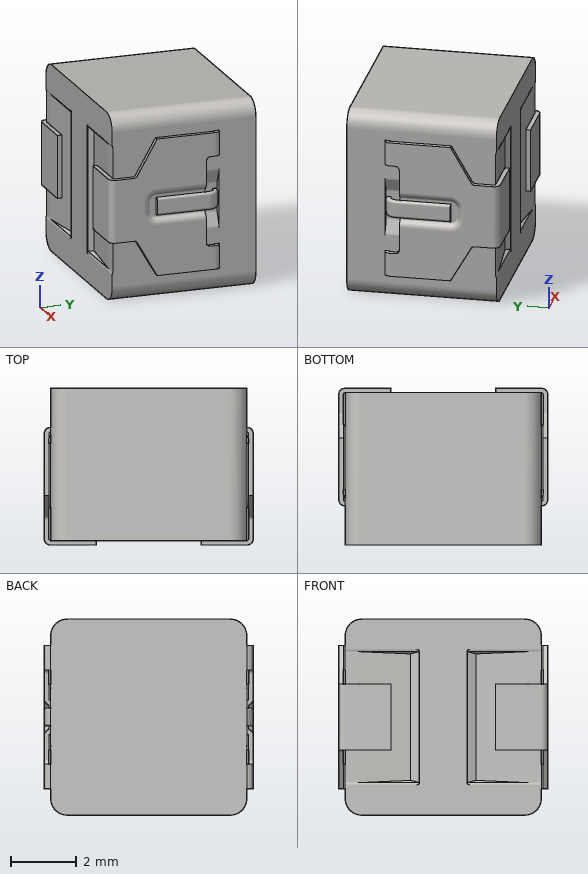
import cadquery as cq
import math


overall_width = 6.4
body_size = 6.0
body_depth = 4.67
body_corner_radius = 0.51
body_side = -body_size / 2

sheet = 0.15
inner_bend_radius = 0.05
outer_bend_radius = inner_bend_radius + sheet
seat_depth = 0.02
terminal_outer = -overall_width / 2
terminal_inner = terminal_outer + sheet
pad_outer = seat_depth - sheet
pad_end = -1.6
tab_top = 3.475
tab_reach = 0.32
terminal_half_height = 2.195
neck_half_height = 1.01
shoulder_y = 1.39
shoulder_angle = 60.0
neck_corner_radius = 0.13
notch_half_height = 1.44
notch_bottom = 2.99
notch_corner_radius = 0.135

channel_half_height = 0.58
channel_floor_half_height = 0.33
channel_depth = sheet
channel_wall_width = channel_half_height - channel_floor_half_height
channel_corner_radius = 0.45
channel_corner_y = 1.415

wire_start = 1.4
wire_half_height = 0.275
wire_edge_radius = 0.08
wire_bend_radius = 0.39
wire_stub = 0.065

recess_half_height = 0.91
recess_floor_half_height = 0.475
recess_depth = 0.19
recess_edge_radius = 0.13

pocket_flat_end = 2.59
pocket_deep_end = 1.0
pocket_depth = 0.135
pocket_rim_inner = 0.72
pocket_rim_half_height = 2.07
pocket_seat_inner = 0.735
pocket_seat_half_height = 2.0
pocket_floor_half_height = 1.93
pocket_corner_radius = 0.08


def mirrored(shape):
    return shape.union(shape.mirror("YZ"))


def prism_z(outline, half_height):
    """Extrude an XY outline symmetrically along Z."""
    return outline.extrude(half_height, both=True)


def make_body():
    block = cq.Workplane("XY").box(body_size, body_depth, body_size, centered=(True, False, True))
    return block.edges("|Y").fillet(body_corner_radius)


def make_pocket():
    """Drafted pocket, open at the -X side, with a floor that deepens towards the middle."""
    outside = 2 * terminal_outer

    def section(depth, inner, half_height):
        return cq.Wire.makePolygon(
            [
                cq.Vector(outside, depth, -half_height),
                cq.Vector(-inner, depth, -half_height),
                cq.Vector(-inner, depth, half_height),
                cq.Vector(outside, depth, half_height),
            ],
            close=True,
        )

    rim = section(0, pocket_rim_inner, pocket_rim_half_height)
    seat = section(seat_depth, pocket_seat_inner, pocket_seat_half_height)
    floor = section(pocket_depth, pocket_deep_end, pocket_floor_half_height)
    rim_bevel = cq.Workplane(cq.Solid.makeLoft([rim, seat], True))
    drafted_walls = cq.Workplane(cq.Solid.makeLoft([seat, floor], True))
    floor_profile = (
        cq.Workplane("XY")
        .moveTo(outside, 0)
        .lineTo(outside, seat_depth)
        .lineTo(-pocket_flat_end, seat_depth)
        .lineTo(-pocket_deep_end, pocket_depth)
        .lineTo(0, pocket_depth)
        .lineTo(0, 0)
        .close()
    )
    rim_length = -outside - pocket_rim_inner
    rim_block = (
        cq.Workplane("XZ", origin=(outside + rim_length / 2, 0, 0))
        .rect(rim_length, 2 * pocket_rim_half_height)
        .extrude(-pocket_depth)
        .edges("|Y and >X")
        .fillet(pocket_corner_radius)
    )
    walls = rim_bevel.union(drafted_walls).intersect(rim_block)
    return walls.intersect(prism_z(floor_profile, body_size / 2))


def make_recess():
    """Trapezoidal recess in the body side, from the notch bottom to the terminal top."""
    floor_x = body_side + recess_depth
    recess = (
        cq.Workplane("XZ", origin=(0, tab_top, 0))
        .polyline(
            [
                (body_side, -recess_half_height),
                (floor_x, -recess_floor_half_height),
                (floor_x, recess_floor_half_height),
                (body_side, recess_half_height),
            ]
        )
        .close()
        .extrude(tab_top - notch_bottom)
    )
    return recess.edges("|Y and >X").fillet(recess_edge_radius)


def round_recess_rims(body):
    """Round the long rims of both recesses."""
    middle_y = (tab_top + notch_bottom) / 2
    for x in (body_side, -body_side):
        for z in (-recess_half_height, recess_half_height):
            rim = cq.selectors.NearestToPointSelector((x, middle_y, z))
            body = body.edges(rim).fillet(recess_edge_radius)
    return body


def make_strip():
    """Bent strip: tab turned into the body, side plate, pad under the mounting face."""
    tab_end = body_side + tab_reach
    strip = (
        cq.Workplane("XY")
        .moveTo(tab_end, tab_top)
        .lineTo(terminal_outer, tab_top)
        .lineTo(terminal_outer, pad_outer)
        .lineTo(pad_end, pad_outer)
        .lineTo(pad_end, seat_depth)
        .lineTo(terminal_inner, seat_depth)
        .lineTo(terminal_inner, tab_top - sheet)
        .lineTo(tab_end, tab_top - sheet)
        .close()
    )
    strip = prism_z(strip, terminal_half_height)
    strip = strip.edges("|Z and <X").fillet(outer_bend_radius)
    inner_corners = cq.selectors.BoxSelector(
        (terminal_inner - inner_bend_radius, pad_outer, -body_size),
        (terminal_inner + inner_bend_radius, tab_top, body_size),
    )
    return strip.edges("|Z").edges(inner_corners).fillet(inner_bend_radius)


def make_terminal_outline():
    """Side outline of the terminal as a block across one half of the part."""
    neck_y = shoulder_y - (terminal_half_height - neck_half_height) / math.tan(math.radians(shoulder_angle))
    half_outline = [
        (pad_outer, neck_half_height),
        (neck_y, neck_half_height),
        (shoulder_y, terminal_half_height),
        (tab_top, terminal_half_height),
        (tab_top, notch_half_height),
        (notch_bottom, notch_half_height),
    ]
    other_half = [(y, -z) for y, z in reversed(half_outline)]
    block = (
        cq.Workplane("YZ", origin=(terminal_outer, 0, 0))
        .polyline(half_outline + other_half)
        .close()
        .extrude(-terminal_outer)
    )

    def corners_at(y):
        margin = 0.005
        return cq.selectors.BoxSelector(
            (terminal_outer, y - margin, -notch_half_height - margin),
            (0, y + margin, notch_half_height + margin),
        )

    block = block.edges("|X").edges(corners_at(neck_y)).fillet(neck_corner_radius)
    return block.edges("|X").edges(corners_at(notch_bottom)).fillet(notch_corner_radius)


def make_dish(top_x, upper_radius, lower_radius):
    """Channel-shaped solid whose walls are two tangent arcs, starting at top_x and deepening to +X."""
    turn = 2 * math.atan(channel_depth / channel_wall_width)
    corner_z = channel_half_height - channel_corner_radius

    def half_section(plane, rim):
        """Cross-section from the channel middle out to the given rim distance."""

        def upper_arc(angle):
            return (top_x + upper_radius * (1 - math.cos(angle)), rim - upper_radius * math.sin(angle))

        def lower_arc(angle):
            floor_edge = rim - channel_wall_width
            x = top_x + channel_depth - lower_radius * (1 - math.cos(angle))
            return (x, floor_edge + lower_radius * math.sin(angle))

        return (
            plane.moveTo(top_x, 0)
            .lineTo(*upper_arc(0))
            .threePointArc(upper_arc(turn / 2), upper_arc(turn))
            .threePointArc(lower_arc(turn / 2), lower_arc(0))
            .lineTo(top_x + channel_depth, 0)
            .close()
        )

    trough_plane = cq.Workplane("XZ", origin=(0, notch_bottom, 0))
    half_trough = half_section(trough_plane, channel_half_height).extrude(notch_bottom - channel_corner_y)
    dish = half_trough.union(half_trough.mirror("XY"))
    end_plane = cq.Workplane("XY", origin=(0, channel_corner_y, 0))
    end = prism_z(half_section(end_plane, channel_corner_radius), corner_z)
    dish = dish.union(end.mirror("XZ", (0, channel_corner_y, 0)))
    for z in (-corner_z, corner_z):
        corner_plane = cq.Workplane("XY", origin=(0, channel_corner_y, z))
        corner = half_section(corner_plane, channel_corner_radius).revolve(360, (0, 0), (1, 0))
        dish = dish.union(corner)
    return dish


def make_terminal():
    radius_sum = (channel_wall_width**2 + channel_depth**2) / (2 * channel_depth)
    large_radius = (radius_sum + sheet) / 2
    small_radius = radius_sum - large_radius
    terminal = make_strip().intersect(make_terminal_outline())
    bulge = make_dish(terminal_inner, small_radius, large_radius)
    channel = make_dish(terminal_outer, large_radius, small_radius)
    return terminal.union(bulge).cut(channel)


def make_wire():
    """Flat wire on the channel floor, bent a quarter turn and ending in a stub inside the body."""
    bend_y = tab_top - wire_bend_radius
    end_x = terminal_outer + wire_bend_radius
    inner_radius = wire_bend_radius - sheet
    diagonal = math.sqrt(0.5)

    def bend_middle(radius):
        return (end_x - radius * diagonal, bend_y + radius * diagonal)

    profile = (
        cq.Workplane("XY")
        .moveTo(terminal_outer, wire_start)
        .lineTo(terminal_outer, bend_y)
        .threePointArc(bend_middle(wire_bend_radius), (end_x, tab_top))
        .lineTo(end_x + wire_stub, tab_top)
        .lineTo(end_x + wire_stub, tab_top - sheet)
        .lineTo(end_x, tab_top - sheet)
        .threePointArc(bend_middle(inner_radius), (terminal_inner, bend_y))
        .lineTo(terminal_inner, wire_start)
        .close()
    )
    wire = prism_z(profile, wire_half_height)
    return wire.faces("<X").edges("|Y").fillet(wire_edge_radius)


body = make_body().cut(mirrored(make_pocket())).cut(mirrored(make_recess()))
body = round_recess_rims(body)
terminal = make_terminal().union(make_wire())
result = body.union(terminal).union(terminal.mirror("YZ"))